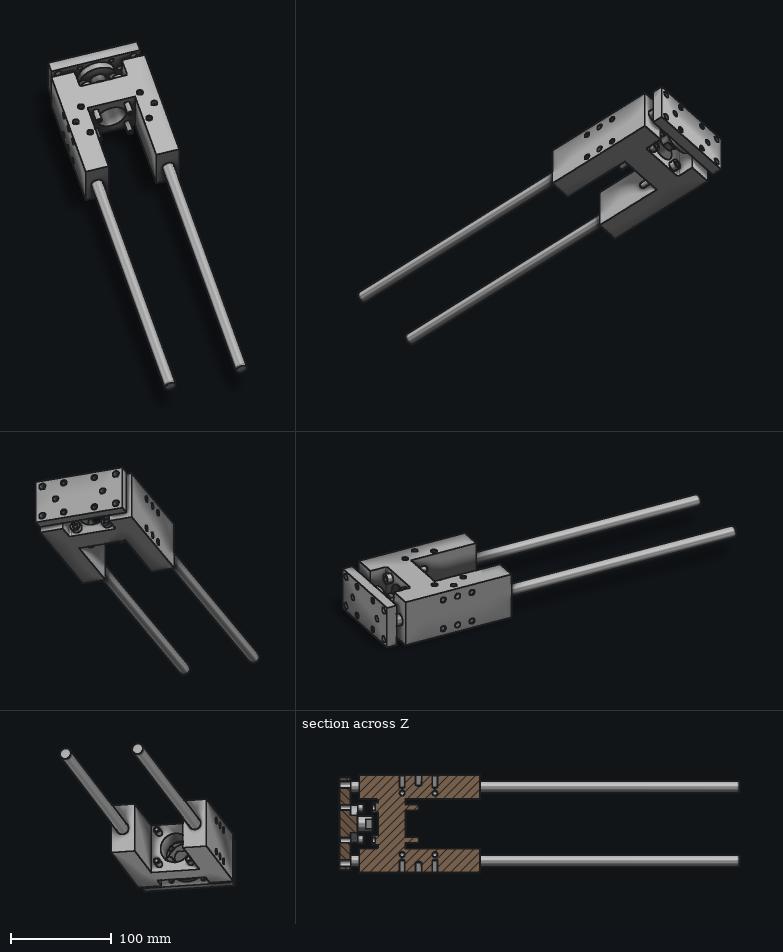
import cadquery as cq

axis_height = 24.0
pitch = 32.5
rod_diameter = 12.0
rod_spacing = 73.5

housing_start = 19.6
housing_length = 120.0
housing_width = 97.0
housing_height = 49.0
arm_width = 24.0
bridge_start = 38.3
bridge_length = 27.3
recess_fillet = 2.0
bore_diameter = 30.0

housing_end = housing_start + housing_length
bridge_end = bridge_start + bridge_length
arm_gap = housing_width - 2 * arm_width

thread_diameter = 4.92
thread_mouth_diameter = 6.2
thread_mouth_depth = (thread_mouth_diameter - thread_diameter) / 2
thread_depth = 12.0
thread_tip_length = 1.42

mount_center_x = 78.5
dowel_diameter = 6.0
dowel_depth = 10.0
top_dowel_diameter = 5.95
top_dowel_spacing = 81.0
top_thread_spacing = 61.0

bridge_screw_diameter = 6.0
bridge_screw_protrusion = 13.2
bridge_screw_chamfer = 1.0
bridge_head_diameter = 10.0
bridge_head_length = 6.0
bridge_socket_diameter = 5.5
bridge_socket_depth = 3.0

plate_thickness = 11.0
plate_width = 92.0
plate_height = 45.0
corner_hole_diameter = 6.6
corner_hole_spacing = 78.0
plate_dowel_spacing = 50.0

rod_end = 397.0
rod_chamfer_length = 2.0
rod_chamfer_depth = 0.5

flange_diameter = 37.5
flange_end = 18.0
stem_diameter = 16.0
stem_end = 33.0
flats_length = 7.0
flats_width = 13.0
flange_screw_spacing = 31.1
flange_head_diameter = 8.65
flange_head_length = 6.0


def pair(spacing):
    """Two points on the Y axis, centred on the origin."""
    return [(-spacing / 2, 0), (spacing / 2, 0)]


def grid(first_spacing, second_spacing):
    """Four points at the corners of a centred rectangle."""
    return [(a, b) for a, _ in pair(first_spacing) for b, _ in pair(second_spacing)]


def cylinders_x(start, end, diameter, points):
    """Cylinders along X at (Y, Z) points measured from the common axis."""
    plane = cq.Workplane("YZ", origin=(start, 0, axis_height))
    return plane.pushPoints(points).circle(diameter / 2).extrude(end - start)


def box_x(start, length, width, height):
    """Box centred on the common axis."""
    base = cq.Workplane("XY", origin=(start, 0, axis_height))
    return base.box(length, width, height, centered=(False, True, True))


def drill(plane, points, diameter, depth):
    """Flat-bottomed hole cutters along the normal of a plane that points into the body."""
    return cq.Workplane(plane).pushPoints(points).circle(diameter / 2).extrude(depth)


def cone_cutter(plane, point, depth, start_diameter, end_diameter, length):
    """Conical cutter that starts at a depth below a point on the plane."""
    cone = cq.Solid.makeCone(
        start_diameter / 2,
        end_diameter / 2,
        length,
        pnt=plane.toWorldCoords((*point, depth)),
        dir=plane.zDir,
    )
    return cq.Workplane(cone)


def cut_thread_mouths(body, plane, points):
    """Conical lead-ins of threaded holes."""
    for point in points:
        mouth = cone_cutter(plane, point, 0, thread_mouth_diameter, thread_diameter, thread_mouth_depth)
        body = body.cut(mouth)
    return body


def cut_blind_threads(body, plane, points):
    """Blind threaded holes with conical mouths and drill-point tips."""
    body = body.cut(drill(plane, points, thread_diameter, thread_depth))
    for point in points:
        body = body.cut(cone_cutter(plane, point, thread_depth, thread_diameter, 0, thread_tip_length))
    return cut_thread_mouths(body, plane, points)


def gap_between_arms(start, end):
    """Full-height gap between the two arms."""
    outline = cq.Workplane("XY").center((start + end) / 2, 0).rect(end - start, arm_gap)
    return outline.extrude(housing_height)


def housing_block():
    """H-shaped block with the central bore and the two rod holes."""
    base = cq.Workplane("XY", origin=(housing_start, 0, 0))
    block = base.box(housing_length, housing_width, housing_height, centered=(False, True, False))
    front_gap = gap_between_arms(housing_start, bridge_start).edges("|Z and >X").fillet(recess_fillet)
    block = block.cut(front_gap)
    block = block.cut(gap_between_arms(bridge_end, housing_end))
    block = block.cut(cylinders_x(bridge_start, bridge_end, bore_diameter, [(0, 0)]))
    return block.cut(cylinders_x(housing_start, housing_end, rod_diameter, pair(rod_spacing)))


def cut_side_holes(body):
    """Two dowel holes and four threaded holes in the outer side of each arm."""
    dowel_points = [(0, -pitch / 2), (0, pitch / 2)]
    for side in (-1, 1):
        face_center = (mount_center_x, side * housing_width / 2, axis_height)
        plane = cq.Plane(origin=face_center, xDir=(1, 0, 0), normal=(0, -side, 0))
        body = body.cut(drill(plane, dowel_points, dowel_diameter, dowel_depth))
        body = cut_blind_threads(body, plane, grid(pitch, pitch))
    return body


def cut_top_holes(body):
    """One dowel hole and two threaded holes in the top of each arm."""
    face_center = (mount_center_x, 0, housing_height)
    plane = cq.Plane(origin=face_center, xDir=(1, 0, 0), normal=(0, 0, -1))
    dowel_points = [(0, -top_dowel_spacing / 2), (0, top_dowel_spacing / 2)]
    body = body.cut(drill(plane, dowel_points, top_dowel_diameter, dowel_depth))
    return cut_blind_threads(body, plane, grid(pitch, top_thread_spacing))


def add_bridge_screws(body):
    """Socket heads in front of the bridge and chamfered screw ends behind it."""
    points = grid(pitch, pitch)
    head_start = bridge_start - bridge_head_length
    socket_end = head_start + bridge_socket_depth
    screw_end = bridge_end + bridge_screw_protrusion
    heads = cylinders_x(head_start, bridge_start, bridge_head_diameter, points)
    sockets = cylinders_x(head_start, socket_end, bridge_socket_diameter, points)
    ends = cylinders_x(bridge_end, screw_end, bridge_screw_diameter, points)
    ends = ends.faces(">X").chamfer(bridge_screw_chamfer)
    return body.union(heads.cut(sockets)).union(ends)


def make_housing():
    return add_bridge_screws(cut_top_holes(cut_side_holes(housing_block())))


def front_plate():
    """Plate with four corner holes, two dowel holes and four through threads."""
    plate = box_x(0, plate_thickness, plate_width, plate_height)
    corner_points = grid(corner_hole_spacing, pitch)
    thread_points = grid(pitch, pitch)
    plate = plate.cut(cylinders_x(0, plate_thickness, corner_hole_diameter, corner_points))
    plate = plate.cut(cylinders_x(0, plate_thickness, dowel_diameter, pair(plate_dowel_spacing)))
    plate = plate.cut(cylinders_x(0, plate_thickness, thread_diameter, thread_points))
    front_face = cq.Plane(origin=(0, 0, axis_height), xDir=(0, 1, 0), normal=(1, 0, 0))
    return cut_thread_mouths(plate, front_face, thread_points)


def guide_rods():
    rods = cylinders_x(plate_thickness, rod_end, rod_diameter, pair(rod_spacing))
    return rods.faces(">X").chamfer(rod_chamfer_length, rod_chamfer_depth)


def coupling():
    """Flange, screw heads and a stem whose end has flats above and below."""
    flats_start = stem_end - flats_length
    stem = cylinders_x(plate_thickness, flats_start, stem_diameter, [(0, 0)])
    stem_tip = cylinders_x(flats_start, stem_end, stem_diameter, [(0, 0)])
    stem_tip = stem_tip.intersect(box_x(flats_start, flats_length, stem_diameter, flats_width))
    flange = cylinders_x(plate_thickness, flange_end, flange_diameter, [(0, 0)])
    head_end = flange_end + flange_head_length
    heads = cylinders_x(flange_end, head_end, flange_head_diameter, pair(flange_screw_spacing))
    return flange.union(stem).union(stem_tip).union(heads)


def make_carriage():
    return front_plate().union(guide_rods()).union(coupling())


housing = make_housing()
carriage = make_carriage()

result = cq.Compound.makeCompound([housing.val(), carriage.val()])